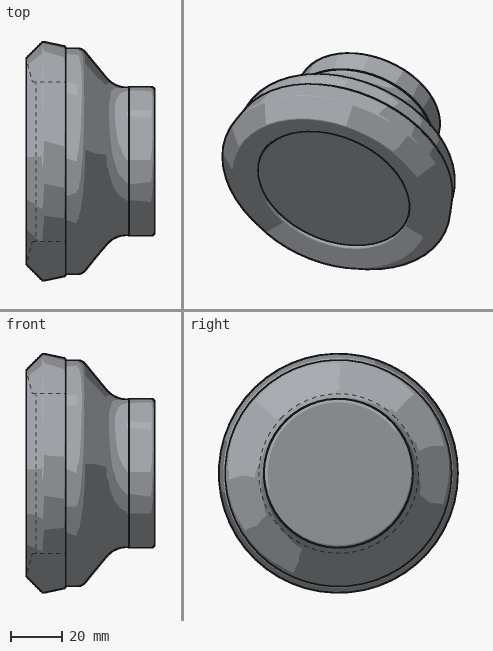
import cadquery as cq
import math


total_length = 50.0
outer_radius = 93.0 / 2

ring_fillet = 0.8
ring_back = 15.35
rim_crest_radius = 39.75
cone_angle = math.radians(45)
taper_angle = math.radians(12)
dish_angle = math.radians(15)
hole_radius = 31.0

plug_front = 3.7
shoulder_radius = 88.0 / 2
shoulder_fillet = 4.0
shoulder_straight_end = 19.85
slope_angle = math.radians(50.5)
neck_radius = 57.6 / 2
neck_fillet = 10.0
end_radius = 58.0 / 2
end_front = 40.0
end_step = end_radius - neck_radius
end_fillet = 1.5


def sharp_corner(center_x, center_r, normal_1, normal_2, fillet):
    """Corner where two lines meet that are both tangent to a fillet circle, as (x, radius, fillet)."""
    n1 = cq.Vector(*normal_1)
    n2 = cq.Vector(*normal_2)
    offset = (n1 + n2) * (fillet / (1 + n1.dot(n2)))
    return center_x + offset.x, center_r + offset.y, fillet


def revolve_profile(corners):
    """Revolve a closed outline of (x, radius, fillet) corners around the X axis."""
    points = [cq.Vector(x, r) for x, r, _ in corners]
    lines_and_arcs = []
    line_starts = []
    line_ends = []
    for i, (_, _, fillet) in enumerate(corners):
        to_previous = (points[i - 1] - points[i]).normalized()
        to_next = (points[(i + 1) % len(points)] - points[i]).normalized()
        half_angle = to_previous.getAngle(to_next) / 2
        tangent_length = fillet / math.tan(half_angle)
        arc_start = points[i] + to_previous * tangent_length
        arc_end = points[i] + to_next * tangent_length
        line_ends.append(arc_start)
        line_starts.append(arc_end)
        if fillet:
            bisector = (to_previous + to_next).normalized()
            arc_middle = points[i] + bisector * (fillet / math.sin(half_angle) - fillet)
            lines_and_arcs.append(cq.Edge.makeThreePointArc(arc_start, arc_middle, arc_end))
    for i, line_end in enumerate(line_ends):
        lines_and_arcs.append(cq.Edge.makeLine(line_starts[i - 1], line_end))
    outline = cq.Wire.combine(lines_and_arcs)[0]
    axis_start = cq.Vector(0, 0, 0)
    axis_end = cq.Vector(1, 0, 0)
    return cq.Workplane(cq.Solid.revolve(outline, [], 360, axis_start, axis_end))


def make_ring():
    dish_normal = (-math.cos(dish_angle), -math.sin(dish_angle))
    cone_normal = (-math.sin(cone_angle), math.cos(cone_angle))
    taper_normal = (math.sin(taper_angle), math.cos(taper_angle))

    peak_center_r = outer_radius - ring_fillet
    peak_center_x = ring_fillet + (peak_center_r - rim_crest_radius) / math.tan(cone_angle)
    rim = sharp_corner(ring_fillet, rim_crest_radius, dish_normal, cone_normal, ring_fillet)
    peak = sharp_corner(peak_center_x, peak_center_r, cone_normal, taper_normal, ring_fillet)

    lip_x = rim[0] + (rim[1] - hole_radius) * math.tan(dish_angle)
    back_radius = peak[1] - (ring_back - peak[0]) * math.tan(taper_angle)
    return revolve_profile([
        rim,
        peak,
        (ring_back, back_radius, ring_fillet),
        (ring_back, hole_radius, 0),
        (lip_x, hole_radius, ring_fillet),
    ])


def make_main_body():
    shoulder_x = shoulder_straight_end + shoulder_fillet * math.tan(slope_angle / 2)
    neck_x = shoulder_x + (shoulder_radius - neck_radius) / math.tan(slope_angle)
    return revolve_profile([
        (plug_front, 0, 0),
        (plug_front, hole_radius, 0),
        (ring_back, hole_radius, 0),
        (ring_back, shoulder_radius, 0),
        (shoulder_x, shoulder_radius, shoulder_fillet),
        (neck_x, neck_radius, neck_fillet),
        (end_front - end_step, neck_radius, 0),
        (end_front, end_radius, 0),
        (total_length, end_radius, end_fillet),
        (total_length, 0, 0),
    ])


ring = make_ring()
main_body = make_main_body()
result = cq.Compound.makeCompound([ring.val(), main_body.val()])